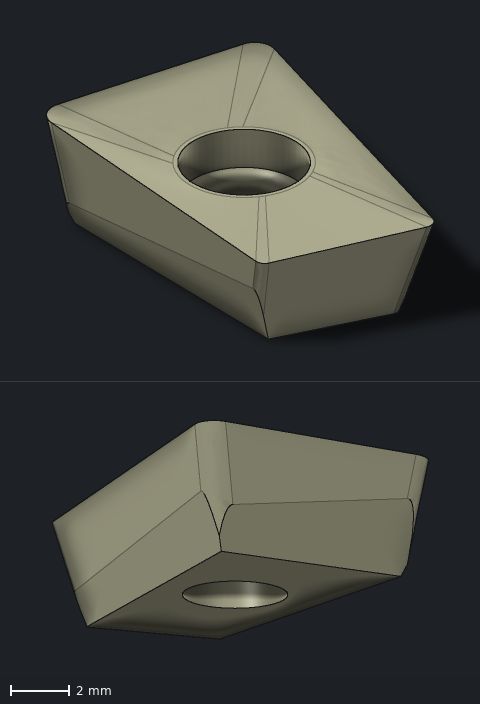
import cadquery as cq
import math


RIM_CORNERS = [(-6.71, -3.84), (-5.46, 5.12), (7.69, 2.44), (5.85, -3.84)]
NOSE_RADII = [0.78, 0.77, 0.4, 0.4]
RIM_HEIGHT = 3.91
RIM_FALL_X = 0.031
RIM_RISE_Y = 0.042

UPPER_LEANS = [0.21, 0.2, 0.26, 0.09]

SEAT_CORNERS = [(-5.25, -3.26), (-4.44, 3.69), (6.52, 1.69), (5.16, -2.96)]
LOWER_LEANS = {0: 0.42, 1: 0.37, 3: 0.33}

RING_HEIGHT = 3.63
RING_RADIUS = 2.44
RING_ANGLES = [(234, 222), (155.6, 143), (36, 29), (-20.7, -26)]
BORE_RADIUS = 2.27
HOLE_RADIUS = 1.8
SHOULDER_HEIGHT = 2.13
SCREW_SEAT_RADIUS = 0.99
TOOL_SIZE = 42.54


def rim_height(x, y):
    return RIM_HEIGHT - RIM_FALL_X * x + RIM_RISE_Y * y


def outward_normal(start, end):
    """Horizontal outward direction of a side of a clockwise outline."""
    dx, dy = end[0] - start[0], end[1] - start[1]
    length = math.hypot(dx, dy)
    return -dy / length, dx / length


def line_crossing(first, second):
    """Crossing point of two plan lines, each given by two points."""
    (x1, y1), (x2, y2) = first
    (x3, y3), (x4, y4) = second
    ax, ay, bx, by = x2 - x1, y2 - y1, x4 - x3, y4 - y3
    along = ((x3 - x1) * by - (y3 - y1) * bx) / (ax * by - ay * bx)
    return x1 + along * ax, y1 + along * ay


def flank_base_corners():
    """Corners where the planes of the upper flanks meet at height zero."""
    traces = []
    for i, lean in enumerate(UPPER_LEANS):
        ends = RIM_CORNERS[i], RIM_CORNERS[(i + 1) % 4]
        nx, ny = outward_normal(*ends)
        trace = []
        for x, y in ends:
            inset = lean * rim_height(x, y)
            trace.append((x - nx * inset, y - ny * inset))
        traces.append(trace)
    return [line_crossing(traces[i - 1], traces[i]) for i in range(4)]


def rounded_outline(corners, height):
    """Edges of a rounded quadrilateral: nose arc, then side, for each corner."""
    noses = []
    for i, radius in enumerate(NOSE_RADII):
        corner = cq.Vector(*corners[i])
        back = (cq.Vector(*corners[i - 1]) - corner).normalized()
        ahead = (cq.Vector(*corners[(i + 1) % 4]) - corner).normalized()
        half_angle = back.getAngle(ahead) / 2
        tangent = radius / math.tan(half_angle)
        middle = (back + ahead).normalized() * (radius / math.sin(half_angle) - radius)
        plan_points = [corner + back * tangent, corner + middle, corner + ahead * tangent]
        noses.append([cq.Vector(p.x, p.y, height(p.x, p.y)) for p in plan_points])
    edges = []
    for i, nose in enumerate(noses):
        edges.append(cq.Edge.makeThreePointArc(*nose))
        edges.append(cq.Edge.makeLine(nose[2], noses[(i + 1) % 4][0]))
    return edges


def ring_point(angle):
    x = RING_RADIUS * math.cos(math.radians(angle))
    y = RING_RADIUS * math.sin(math.radians(angle))
    return cq.Vector(x, y, RING_HEIGHT)


def ring_outline():
    """Inner edge of the dish, split opposite the ends of the noses."""
    angles = [angle for pair in RING_ANGLES for angle in pair]
    edges = []
    for i, start in enumerate(angles):
        end = angles[(i + 1) % len(angles)]
        sweep = (start - end) % 360
        points = [ring_point(start - sweep * part) for part in (0, 0.5, 1)]
        edges.append(cq.Edge.makeThreePointArc(*points))
    return edges


def dished_blank():
    """Upper flanks, noses and dished top, closed by flat faces."""
    base = rounded_outline(flank_base_corners(), lambda x, y: 0)
    rim = rounded_outline(RIM_CORNERS, rim_height)
    ring = ring_outline()
    faces = [cq.Face.makeRuledSurface(low, high) for low, high in zip(base, rim)]
    faces += [cq.Face.makeRuledSurface(outer, inner) for outer, inner in zip(rim, ring)]
    for outline in (base, ring):
        faces.append(cq.Face.makeFromWires(cq.Wire.assembleEdges(outline)))
    return cq.Workplane(cq.Solid.makeSolid(cq.Shell.makeShell(faces)).fix())


def cut_lower_flank(body, side, lean):
    """Remove everything outside the plane rising from one seat edge."""
    start, end = SEAT_CORNERS[side], SEAT_CORNERS[(side + 1) % 4]
    nx, ny = outward_normal(start, end)
    plane = cq.Plane(origin=(*start, 0), xDir=(-ny, nx, 0), normal=(nx, ny, -lean))
    return body.cut(cq.Workplane(plane).rect(TOOL_SIZE, TOOL_SIZE).extrude(TOOL_SIZE))


def screw_hole():
    """Through hole with a convex rounded seat below a wider bore."""
    drop = math.sqrt(SCREW_SEAT_RADIUS**2 - (SCREW_SEAT_RADIUS - (BORE_RADIUS - HOLE_RADIUS)) ** 2)
    centre_x = HOLE_RADIUS + SCREW_SEAT_RADIUS
    half_angle = math.asin(drop / SCREW_SEAT_RADIUS) / 2
    seat_base = SHOULDER_HEIGHT - drop
    middle = (
        centre_x - SCREW_SEAT_RADIUS * math.cos(half_angle),
        seat_base + SCREW_SEAT_RADIUS * math.sin(half_angle),
    )
    top = 2 * RIM_HEIGHT
    return (
        cq.Workplane("XZ")
        .lineTo(HOLE_RADIUS, 0)
        .lineTo(HOLE_RADIUS, seat_base)
        .threePointArc(middle, (BORE_RADIUS, SHOULDER_HEIGHT))
        .lineTo(BORE_RADIUS, top)
        .lineTo(0, top)
        .close()
        .revolve(360, (0, 0), (0, 1))
    )


result = dished_blank()
for side, lean in LOWER_LEANS.items():
    result = cut_lower_flank(result, side, lean)
result = result.cut(screw_hole())